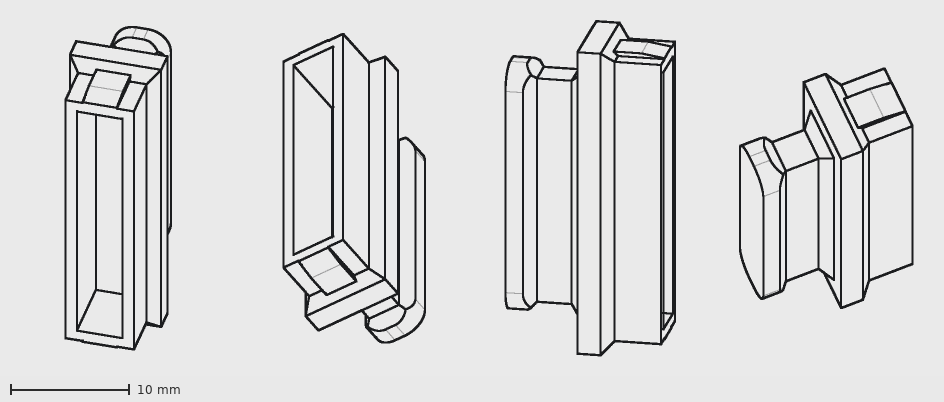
import cadquery as cq

flange_width = 8.0
flange_height = 27.0
flange_thickness = 2.0

bevel = 1.0
wall = 1.0

body_depth = 4.0
body_width = flange_width - 2 * bevel
body_height = flange_height - 2 * bevel

ridge_width = 3.0
ridge_rise = 0.38
ridge_tip_rise = 0.08
ridge_ramp = 2.0

neck_width = 3.0
neck_height = 20.0
neck_length = 3.0
grip_width = neck_width + 2 * bevel
grip_height = neck_height + 2 * bevel
grip_rim = 1.5
grip_corner_radius = 2.0

front_y = -6.75
body_end_y = front_y + body_depth
flange_front_y = body_end_y + bevel
flange_back_y = flange_front_y + flange_thickness
neck_start_y = flange_back_y + bevel
neck_end_y = neck_start_y + neck_length
rim_start_y = neck_end_y + bevel
pocket_depth = flange_back_y - wall - front_y


def block(width, height, start_y, depth):
    """Rectangular prism centred on the Y axis, running toward +Y."""
    return cq.Workplane("XY").box(width, depth, height).translate((0, start_y + depth / 2, 0))


def taper(start_width, start_height, end_width, end_height, start_y):
    """Rectangular frustum, one bevel long, running toward +Y."""
    return (
        cq.Workplane("XZ", origin=(0, start_y, 0))
        .rect(start_width, start_height)
        .workplane(offset=-bevel)
        .rect(end_width, end_height)
        .loft(ruled=True)
    )


def snap_ridge():
    """Ridge on the top of the body, ramped toward the front."""
    top = body_height / 2
    return (
        cq.Workplane("YZ")
        .moveTo(front_y, top - wall)
        .lineTo(front_y, top + ridge_tip_rise)
        .lineTo(front_y + ridge_ramp, top + ridge_rise)
        .lineTo(body_end_y + ridge_rise, top + ridge_rise)
        .lineTo(body_end_y + ridge_rise, top - wall)
        .close()
        .extrude(ridge_width / 2, both=True)
    )


def grip():
    """Flared grip whose rounded corners cut through the flare."""
    flare = taper(neck_width, neck_height, grip_width, grip_height, neck_end_y)
    rim = block(grip_width, grip_height, rim_start_y, grip_rim)
    rounded_envelope = (
        block(grip_width, grip_height, neck_end_y, bevel + grip_rim)
        .edges("|Y")
        .fillet(grip_corner_radius)
    )
    return flare.union(rim).intersect(rounded_envelope)


body = block(body_width, body_height, front_y, body_depth)
front_taper = taper(body_width, body_height, flange_width, flange_height, body_end_y)
flange = block(flange_width, flange_height, flange_front_y, flange_thickness)
back_taper = taper(grip_width, grip_height, neck_width, neck_height, flange_back_y)
neck = block(neck_width, neck_height, neck_start_y, neck_length)
top_ridge = snap_ridge()
bottom_ridge = top_ridge.mirror("XY")
pocket = block(body_width - 2 * wall, body_height - 2 * wall, front_y, pocket_depth)

result = body
for section in (front_taper, flange, back_taper, neck, grip(), top_ridge, bottom_ridge):
    result = result.union(section)
result = result.cut(pocket)